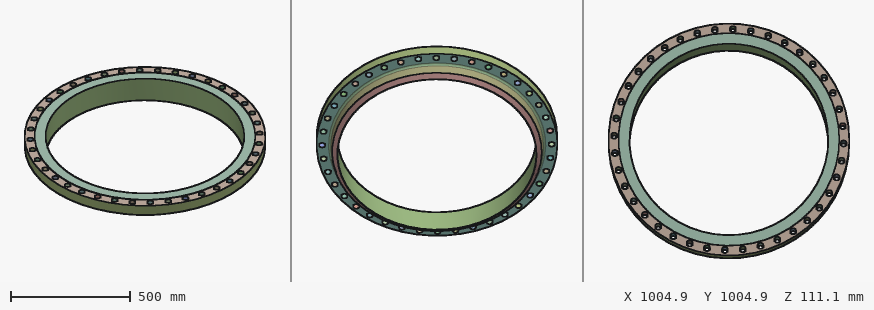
import cadquery as cq
import math

overall_height = 111.12
flange_diameter = 1004.89
raised_face_diameter = 920.75
raised_face_height = 1.6
flange_thickness = 47.3
bore_diameter = 828.7

hub_taper_angle = 10.0
hub_end_diameter = 874.0
hub_fillet_radius = 9.5
bevel_height = 16.0
root_face_width = 1.6

full_turn = 360.0

bolt_count = 40
bolt_hole_diameter = 25.4
bolt_circle_diameter = 957.3

flange_top_z = overall_height - raised_face_height
flange_bottom_z = flange_top_z - flange_thickness


def make_ring():
    """Revolve the half section about the Z axis."""
    bore_radius = bore_diameter / 2
    flange_radius = flange_diameter / 2
    raised_face_radius = raised_face_diameter / 2
    hub_end_radius = hub_end_diameter / 2
    taper = math.radians(hub_taper_angle)

    fillet_center_z = flange_bottom_z - hub_fillet_radius
    fillet_start_z = fillet_center_z + hub_fillet_radius * math.sin(taper)
    hub_top_radius = hub_end_radius + (fillet_start_z - bevel_height) * math.tan(taper)
    fillet_center_radius = hub_top_radius + hub_fillet_radius * math.cos(taper)
    fillet_mid_angle = (taper + math.pi / 2) / 2
    fillet_mid = (
        fillet_center_radius - hub_fillet_radius * math.cos(fillet_mid_angle),
        fillet_center_z + hub_fillet_radius * math.sin(fillet_mid_angle),
    )

    section = (
        cq.Workplane("XZ")
        .moveTo(bore_radius, 0)
        .lineTo(bore_radius + root_face_width, 0)
        .lineTo(hub_end_radius, bevel_height)
        .lineTo(hub_top_radius, fillet_start_z)
        .threePointArc(fillet_mid, (fillet_center_radius, flange_bottom_z))
        .lineTo(flange_radius, flange_bottom_z)
        .lineTo(flange_radius, flange_top_z)
        .lineTo(raised_face_radius, flange_top_z)
        .lineTo(raised_face_radius, overall_height)
        .lineTo(bore_radius, overall_height)
        .close()
    )
    return section.revolve(full_turn, (0, 0, 0), (0, 1, 0))


def make_bolt_holes():
    """Through-drills on the bolt circle, the first one on the +X axis."""
    return (
        cq.Workplane("XY")
        .workplane(offset=flange_bottom_z)
        .polarArray(bolt_circle_diameter / 2, 0, full_turn, bolt_count)
        .circle(bolt_hole_diameter / 2)
        .extrude(flange_thickness)
    )


result = make_ring().cut(make_bolt_holes())